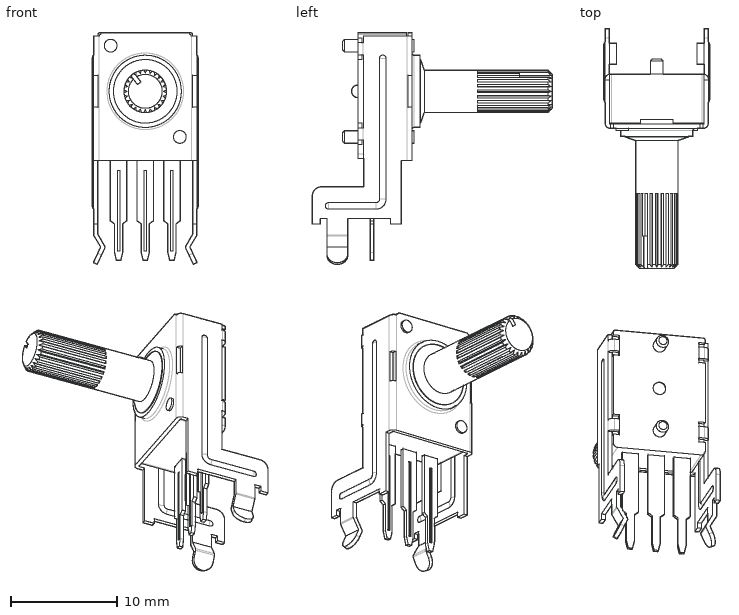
import cadquery as cq
import math


sheet = 0.4
cover_half_width = 4.85
inner_half_width = cover_half_width - sheet
bend_radius = 0.5
inner_bend_radius = bend_radius - sheet
cover_top = 5.51
side_top = 5.22
front_bottom = -6.53
wall_rear = 4.57
leg_front = 1.02
arm_top = -8.97
arm_rear = 9.4
arm_corner_radius = 0.9
wall_bottom = -11.98
foot_bottom = -12.5
front_foot_rear = 2.03
rear_foot_front = 8.63
window_half_height = 1.5

tongue_y = 7.03
tongue_width = 2.0
tip_round = 0.97
tongue_bend_z = -13.45
tongue_knee_x = 3.75
tongue_knee_z = -14.67
tongue_tip_x = 4.52
tongue_tip_z = -16.3

bead_height = 0.14
bead_width = 0.6
bead_y = 2.75
bead_z = -10.78
bead_top = 3.41
bead_rear = 8.15
bead_turn_radius = 0.63
bead_section_radius = ((bead_width / 2) ** 2 + bead_height**2) / (2 * bead_height)

claw_low = 3.44
claw_high = 4.59
claw_reach = 1.02
claw_relief = 0.43

collar_diameter = 6.8
collar_length = 0.75
collar_fillet = 0.2
collar_bore = 6.0

housing_rear = 5.1
housing_bottom = -6.33
top_edge_radius = 0.18
bottom_edge_radius = 0.4
top_gap = 0.11
top_pocket_width = 3.1
top_pocket_rear = 0.84
peg_diameter = 1.2
peg_z = 4.3
peg_end = 6.55
peg_chamfer = 0.2
stud_x = 3.25
stud_height = 0.2

terminal_pitch = 2.5
terminal_y = 3.77
terminal_thickness = 0.36
terminal_top = -4.97
terminal_width = 1.58
terminal_pin_width = 0.8
terminal_tip_width = 0.43
shoulder_top = -12.18
shoulder_bottom = -12.48
taper_top = -15.16
terminal_bottom = -15.9
groove_width = 0.23
groove_depth = 0.11
groove_top = -7.45
groove_bottom = -15.03

shaft_diameter = 4.0
shaft_tip = arm_rear - 22.6
shaft_chamfer = 0.4
flange_front = -0.81
cone_front = -1.15
knurl_start = -6.15
knurl_count = 24
knurl_depth = 0.27
knurl_width = 0.45
marker_angle = 37.0
marker_width = 0.4
marker_inner_radius = 0.95
marker_start = -10.12


def block(x0, x1, y0, y1, z0, z1):
    return cq.Workplane("XY").box(x1 - x0, y1 - y0, z1 - z0, centered=False).translate((x0, y0, z0))


def rod(diameter, x, z, y0, y1):
    """Cylinder parallel to Y from y0 to y1."""
    return cq.Workplane("XZ", origin=(x, y0, z)).circle(diameter / 2).extrude(y0 - y1)


def mirror_x(body):
    return body.mirror("YZ")


def channel():
    """Front plate with its two side bends."""
    depth = wall_rear
    outer = block(-cover_half_width, cover_half_width, 0, depth, front_bottom, side_top)
    outer = outer.edges("|Z").edges("<Y").fillet(bend_radius)
    inner = block(-inner_half_width, inner_half_width, sheet, depth, front_bottom, side_top)
    inner = inner.edges("|Z").edges("<Y").fillet(inner_bend_radius)
    return outer.cut(inner)


def top_lip():
    """Raised top edge of the front plate, with chamfered ends."""
    half = cover_half_width - bend_radius
    lip = block(-half, half, 0, sheet, side_top - sheet, cover_top)
    return lip.edges("|Y").edges(">Z").chamfer(cover_top - side_top - 0.002)


def leg():
    """Lower part of the right side wall: the leg, its arm and its feet."""
    outline = [
        (leg_front, front_bottom),
        (wall_rear, front_bottom),
        (wall_rear, arm_top),
        (arm_rear, arm_top),
        (arm_rear, foot_bottom),
        (rear_foot_front, foot_bottom),
        (rear_foot_front, wall_bottom),
        (front_foot_rear, wall_bottom),
        (front_foot_rear, foot_bottom),
        (leg_front, foot_bottom),
    ]
    plate = cq.Workplane("YZ", origin=(inner_half_width, 0, 0)).polyline(outline).close().extrude(sheet)
    return plate.edges("|X").edges(">Y").edges(">Z").fillet(arm_corner_radius)


def tongue():
    """Right snap-in tongue: bent inward, then outward, with a round tip."""
    lean_in = math.atan2(inner_half_width - tongue_knee_x, tongue_bend_z - tongue_knee_z)
    lean_out = math.atan2(tongue_tip_x - tongue_knee_x, tongue_knee_z - tongue_tip_z)
    outer_bend_z = tongue_bend_z - sheet * math.tan(lean_in / 2)
    knee_tilt = (lean_out - lean_in) / 2
    knee_span = sheet / math.cos((lean_in + lean_out) / 2)
    outer_knee = (
        tongue_knee_x + knee_span * math.cos(knee_tilt),
        tongue_knee_z - knee_span * math.sin(knee_tilt),
    )
    outer_tip = (
        tongue_tip_x + sheet * math.cos(lean_out),
        tongue_tip_z + sheet * math.sin(lean_out),
    )
    outline = [
        (inner_half_width, wall_bottom),
        (inner_half_width, tongue_bend_z),
        (tongue_knee_x, tongue_knee_z),
        (tongue_tip_x, tongue_tip_z),
        outer_tip,
        outer_knee,
        (cover_half_width, outer_bend_z),
        (cover_half_width, wall_bottom),
    ]
    rear = tongue_y + tongue_width / 2
    strip = cq.Workplane("XZ", origin=(0, rear, 0)).polyline(outline).close().extrude(tongue_width)
    for x, z in ((tongue_knee_x, tongue_knee_z), (cover_half_width, outer_bend_z)):
        strip = strip.edges(cq.NearestToPointSelector((x, tongue_y, z))).fillet(sheet / 2)
    tip_x = (tongue_tip_x + outer_tip[0]) / 2
    tip_z = (tongue_tip_z + outer_tip[1]) / 2
    for y in (rear, rear - tongue_width):
        strip = strip.edges(cq.NearestToPointSelector((tip_x, y, tip_z))).fillet(tip_round)
    return strip


def bead_tool():
    """Round bar along the L-shaped bead of the right side wall, with ball ends."""
    x = cover_half_width + bead_height - bead_section_radius
    end_inset = bead_width / 2
    turn = bead_turn_radius
    mid = turn * (1 - math.sqrt(0.5))
    top_end = (bead_y, bead_top - end_inset)
    rear_end = (bead_rear - end_inset, bead_z)
    path = (
        cq.Workplane("YZ", origin=(x, 0, 0))
        .moveTo(*top_end)
        .lineTo(bead_y, bead_z + turn)
        .threePointArc((bead_y + mid, bead_z + mid), (bead_y + turn, bead_z))
        .lineTo(*rear_end)
    )
    bar = cq.Workplane("XY", origin=(x, bead_y, top_end[1])).circle(bead_section_radius).sweep(path)
    for y, z in (top_end, rear_end):
        bar = bar.union(cq.Workplane("XY").sphere(bead_section_radius).translate((x, y, z)))
    return bar


def claw(z0):
    """Right claw whose lower edge is at z0, folded behind the housing."""
    x0 = cover_half_width - claw_reach
    start = wall_rear - sheet
    outer = block(x0, cover_half_width, start, housing_rear, z0, z0 + claw_high - claw_low)
    outer = outer.edges("|Z").edges(">X and >Y").fillet(bend_radius)
    inner = block(x0, inner_half_width, start, housing_rear - sheet, z0, z0 + claw_high - claw_low)
    inner = inner.edges("|Z").edges(">X and >Y").fillet(inner_bend_radius)
    return outer.cut(inner)


def make_cover():
    side = leg().union(tongue()).union(claw(claw_low)).union(claw(-claw_high))
    cover = channel().union(top_lip()).union(side).union(mirror_x(side))

    lower_front = block(-cover_half_width, cover_half_width, 0, leg_front, foot_bottom, front_bottom)
    cover = cover.cut(lower_front)

    window = block(
        inner_half_width, cover_half_width, 0, sheet, -window_half_height, window_half_height
    )
    cover = cover.cut(window).cut(mirror_x(window))

    tool = bead_tool()
    outside = cover_half_width + bead_height
    rib = tool.intersect(
        block(cover_half_width - sheet / 2, outside, 0, arm_rear, foot_bottom, side_top)
    )
    groove = tool.translate((-sheet, 0, 0))
    cover = cover.union(rib).union(mirror_x(rib)).cut(groove).cut(mirror_x(groove))

    collar = rod(collar_diameter, 0, 0, sheet, -collar_length)
    cover = cover.union(collar)
    root = cq.selectors.BoxSelector((-3.85, -0.02, -3.85), (3.85, 0.02, 3.85))
    cover = cover.edges(root).edges("%CIRCLE").fillet(collar_fillet)
    cover = cover.cut(rod(collar_bore, 0, 0, sheet, -collar_length))

    for side_sign in (-1, 1):
        cover = cover.cut(rod(peg_diameter, side_sign * stud_x, -side_sign * peg_z, sheet, 0))
    return cover


def make_housing(cover):
    housing = block(
        -inner_half_width, inner_half_width, sheet, housing_rear, housing_bottom, cover_top
    )
    housing = housing.edges("|Y").edges(">Z").fillet(top_edge_radius)
    housing = housing.edges("|Y").edges("<Z").fillet(bottom_edge_radius)

    gap = block(-inner_half_width, inner_half_width, sheet, sheet + top_gap, side_top, cover_top)
    half_pocket = top_pocket_width / 2
    pocket = block(-half_pocket, half_pocket, sheet, top_pocket_rear, side_top, cover_top)
    housing = housing.cut(gap).cut(pocket)

    x0 = cover_half_width - claw_reach
    for z0 in (claw_low, -claw_high):
        recess = block(
            x0,
            inner_half_width,
            housing_rear - sheet,
            housing_rear,
            z0 - claw_relief,
            z0 + claw_high - claw_low + claw_relief,
        )
        housing = housing.cut(recess).cut(mirror_x(recess))

    for sign in (-1, 1):
        peg = rod(peg_diameter, 0, sign * peg_z, housing_rear - sheet, peg_end)
        housing = housing.union(peg.faces(">Y").chamfer(peg_chamfer))
        housing = housing.union(rod(peg_diameter, sign * stud_x, -sign * peg_z, sheet * 2, -stud_height))
    ball = cq.Workplane("XY").sphere(peg_diameter / 2).translate((0, housing_rear, 0))
    return housing.union(ball).cut(cover)


def make_terminal(x):
    right_side = [
        (terminal_width / 2, terminal_top),
        (terminal_width / 2, shoulder_top),
        (terminal_pin_width / 2, shoulder_bottom),
        (terminal_pin_width / 2, taper_top),
        (terminal_tip_width / 2, terminal_bottom),
    ]
    left_side = [(-px, pz) for px, pz in reversed(right_side)]
    front = terminal_y - terminal_thickness / 2
    plate = (
        cq.Workplane("XZ", origin=(0, front, 0))
        .polyline(right_side + left_side)
        .close()
        .extrude(-terminal_thickness)
    )
    groove = block(
        -groove_width / 2, groove_width / 2, front, front + groove_depth, groove_bottom, groove_top
    )
    return plate.cut(groove).translate((x, 0, 0))


def make_shaft():
    radius = shaft_diameter / 2
    profile = [
        (0, sheet),
        (collar_bore / 2, sheet),
        (collar_bore / 2, flange_front),
        (radius, cone_front),
        (radius, shaft_tip + shaft_chamfer),
        (radius - shaft_chamfer, shaft_tip),
        (0, shaft_tip),
    ]
    shaft = cq.Workplane("XY").polyline(profile).close().revolve(360, (0, 0, 0), (0, 1, 0))

    overshoot = radius / (radius - knurl_depth)
    groove = (
        cq.Workplane("XZ", origin=(0, knurl_start, 0))
        .moveTo(0, radius - knurl_depth)
        .lineTo(knurl_width / 2 * overshoot, radius * overshoot - knurl_depth * (overshoot - 1))
        .lineTo(-knurl_width / 2 * overshoot, radius * overshoot - knurl_depth * (overshoot - 1))
        .close()
        .extrude(knurl_start - shaft_tip)
    )
    for i in range(knurl_count):
        shaft = shaft.cut(groove.rotate((0, 0, 0), (0, 1, 0), i * 360 / knurl_count))

    marker = block(
        -marker_width / 2, marker_width / 2, shaft_tip, marker_start, marker_inner_radius, radius
    )
    return shaft.cut(marker.rotate((0, 0, 0), (0, 1, 0), -marker_angle))


cover = make_cover()
housing = make_housing(cover)
shaft = make_shaft()
terminals = [make_terminal(i * terminal_pitch) for i in (-1, 0, 1)]
for terminal in terminals:
    housing = housing.cut(terminal)

result = cq.Compound.makeCompound(
    [cover.val(), housing.val(), shaft.val(), *[terminal.val() for terminal in terminals]]
)